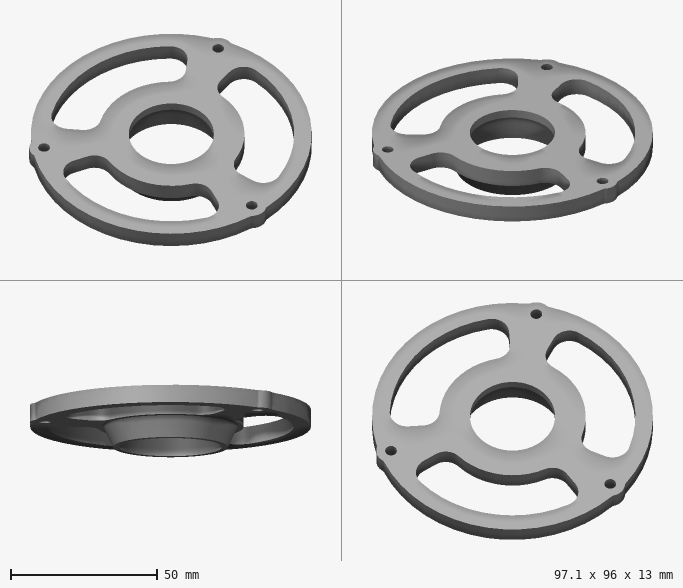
import cadquery as cq
import math

RIM_RADIUS = 48.0
PLATE_THICKNESS = 6.0
TOTAL_HEIGHT = 13.0

SPOKE_COUNT = 3
LUG_TIP_RADIUS = 49.05
LUG_CENTER_RADIUS = 44.0
LUG_RADIUS = LUG_TIP_RADIUS - LUG_CENTER_RADIUS
LUG_BLEND_RADIUS = 1.0
SCREW_HOLE_DIAMETER = 4.0

HUB_HEIGHT = TOTAL_HEIGHT - PLATE_THICKNESS
HUB_TOP_RADIUS = 23.0
HUB_BOTTOM_RADIUS = 19.6

BORE_DIAMETER = 29.07
SEAT_DIAMETER = 35.0
SEAT_DEPTH = 10.0

WINDOW_OUTER_RADIUS = 42.0
WINDOW_INNER_RADIUS = 25.0
WINDOW_HALF_ANGLE = 45.0
WINDOW_APEX_OFFSET = 2.2
WINDOW_CORNER_RADIUS = 6.0

SPOKE_PITCH = 360.0 / SPOKE_COUNT
WINDOW_START_ANGLE = SPOKE_PITCH / 2


def cylinder(radius, bottom, height):
    return cq.Workplane("XY").workplane(offset=bottom).circle(radius).extrude(height)


def repeat_around_axis(body, start_angle):
    """Return one copy of body per spoke, evenly turned about Z."""
    copies = cq.Workplane("XY")
    for i in range(SPOKE_COUNT):
        angle = start_angle + i * SPOKE_PITCH
        copies = copies.add(body.rotate((0, 0, 0), (0, 0, 1), angle))
    return copies.combine()


def make_plate():
    """Round plate with three lugs blended into its rim."""
    disc = cylinder(RIM_RADIUS, HUB_HEIGHT, PLATE_THICKNESS)
    lug = cylinder(LUG_RADIUS, HUB_HEIGHT, PLATE_THICKNESS).translate((LUG_CENTER_RADIUS, 0, 0))
    plate = disc.union(repeat_around_axis(lug, 0))
    corner_x = (RIM_RADIUS**2 + LUG_CENTER_RADIUS**2 - LUG_RADIUS**2) / (2 * LUG_CENTER_RADIUS)
    corner_angle = math.acos(corner_x / RIM_RADIUS)
    middle_z = HUB_HEIGHT + PLATE_THICKNESS / 2
    for i in range(SPOKE_COUNT):
        for side in (-1, 1):
            angle = math.radians(i * SPOKE_PITCH) + side * corner_angle
            corner = (RIM_RADIUS * math.cos(angle), RIM_RADIUS * math.sin(angle), middle_z)
            corner_edge = plate.edges(cq.selectors.NearestToPointSelector(corner))
            plate = corner_edge.fillet(LUG_BLEND_RADIUS)
    return plate


def make_hub():
    """Conical hub narrowing towards the bottom."""
    return (
        cq.Workplane("XY")
        .circle(HUB_BOTTOM_RADIUS)
        .workplane(offset=HUB_HEIGHT)
        .circle(HUB_TOP_RADIUS)
        .loft(combine=True)
    )


def make_window():
    """Ring sector centred on +X, with rounded corners."""
    ring = cylinder(WINDOW_OUTER_RADIUS, HUB_HEIGHT, PLATE_THICKNESS)
    ring = ring.cut(cylinder(WINDOW_INNER_RADIUS, HUB_HEIGHT, PLATE_THICKNESS))
    wedge_length = 2 * WINDOW_OUTER_RADIUS
    wedge_half_width = wedge_length * math.tan(math.radians(WINDOW_HALF_ANGLE))
    wedge_end = wedge_length - WINDOW_APEX_OFFSET
    wedge = (
        cq.Workplane("XY")
        .workplane(offset=HUB_HEIGHT)
        .moveTo(-WINDOW_APEX_OFFSET, 0)
        .lineTo(wedge_end, -wedge_half_width)
        .lineTo(wedge_end, wedge_half_width)
        .close()
        .extrude(PLATE_THICKNESS)
    )
    return ring.intersect(wedge).edges("|Z").fillet(WINDOW_CORNER_RADIUS)


windows = repeat_around_axis(make_window(), WINDOW_START_ANGLE)
screw_hole = cylinder(SCREW_HOLE_DIAMETER / 2, HUB_HEIGHT, PLATE_THICKNESS)
screw_holes = repeat_around_axis(screw_hole.translate((LUG_CENTER_RADIUS, 0, 0)), 0)

result = (
    make_plate()
    .union(make_hub())
    .cut(windows)
    .cut(screw_holes)
    .cut(cylinder(BORE_DIAMETER / 2, 0, TOTAL_HEIGHT))
    .cut(cylinder(SEAT_DIAMETER / 2, 0, SEAT_DEPTH))
)